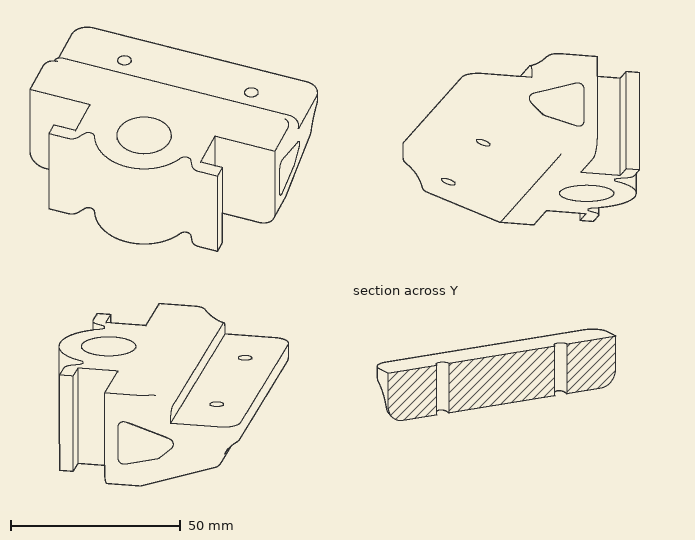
import cadquery as cq
import math

width = 77.0
height = 30.0
back_y = 46.9
body_front_y = 7.0

ledge_y = 26.9
ledge_z = 22.0
step_foot_z = 26.4
step_arc_start = (26.25, 26.6)
step_middle = (24.2, 27.6)
step_top_y = 21.4
step_rounding = 3.0

slope_start_y = 17.2
slope_end = (40.8, 8.0)
lip_arc_middle = (43.3, 13.55)
lip_z = 16.55
lip_blend = 2.0
outer_rounding = 5.0

bore_diameter = 16.0
boss_radius = 14.6
neck_half_width = 19.6
tab_half_width = 26.5
tab_top_y = -5.0
tab_bottom_y = -9.1
tab_round_x = 20.5
tab_round_radius = 3.0
notch_x = 15.2
notch_radius = 1.8

hole_diameter = 4.0
hole_x = 19.95
hole_y = 36.8

pocket_mouth = [(11.0, 7.55), (11.0, 22.1), (29.4, 16.2), (23.25, 10.6)]
pocket_depth = 4.0
pocket_taper = 20
pocket_rounding = 2.0


def make_body():
    """Side profile extruded over the full width, with its ends rounded underneath and on the step."""
    half_width = width / 2
    body = (
        cq.Workplane("YZ", origin=(-half_width, 0, 0))
        .moveTo(body_front_y, 0)
        .lineTo(slope_start_y, 0)
        .lineTo(*slope_end)
        .threePointArc(lip_arc_middle, (back_y, lip_z))
        .lineTo(back_y, ledge_z)
        .lineTo(ledge_y, ledge_z)
        .lineTo(ledge_y, step_foot_z)
        .lineTo(*step_arc_start)
        .threePointArc(step_middle, (step_top_y, height))
        .lineTo(body_front_y, height)
        .close()
        .extrude(width)
    )

    for y, z in [slope_end, (back_y, lip_z)]:
        body = body.edges(cq.selectors.NearestToPointSelector((0, y, z))).fillet(lip_blend)

    below_lip = cq.selectors.BoxSelector((-width, body_front_y + 0.8, 0), (width, back_y, lip_z))
    body = body.faces("<X or >X").edges(below_lip).fillet(outer_rounding)

    step_zone = cq.selectors.BoxSelector(
        (-width, step_top_y - 0.8, step_foot_z - 0.8), (width, ledge_y - 0.1, height + 0.8)
    )
    return body.edges(step_zone).fillet(step_rounding)


def make_bearing_block():
    """Neck, round boss and two clip tabs, extruded over the full height."""
    notch_y = -math.sqrt((boss_radius + notch_radius) ** 2 - notch_x**2)
    boss_share = boss_radius / (boss_radius + notch_radius)
    boss_touch = (notch_x * boss_share, notch_y * boss_share)

    round_y = tab_bottom_y + tab_round_radius
    center_angle = math.atan2(notch_y - round_y, notch_x - tab_round_x)
    center_distance = math.hypot(notch_y - round_y, notch_x - tab_round_x)
    flank_angle = center_angle + math.acos((tab_round_radius + notch_radius) / center_distance)
    flank_x = math.cos(flank_angle)
    flank_y = math.sin(flank_angle)
    round_touch = (tab_round_x + tab_round_radius * flank_x, round_y + tab_round_radius * flank_y)
    notch_touch = (notch_x - notch_radius * flank_x, notch_y - notch_radius * flank_y)

    half_block = (
        cq.Workplane("XY")
        .moveTo(0, body_front_y)
        .lineTo(neck_half_width, body_front_y)
        .lineTo(neck_half_width, tab_top_y)
        .lineTo(tab_half_width, tab_top_y)
        .lineTo(tab_half_width, tab_bottom_y)
        .lineTo(tab_round_x, tab_bottom_y)
        .tangentArcPoint(round_touch, relative=False)
        .lineTo(*notch_touch)
        .threePointArc((notch_x, notch_y + notch_radius), boss_touch)
        .tangentArcPoint((0, -boss_radius), relative=False)
        .close()
        .extrude(height)
    )
    return half_block.union(half_block.mirror("YZ"))


def make_end_pocket():
    """Tapered pocket with a rounded floor, cut into the -X end face."""
    pocket = (
        cq.Workplane("YZ", origin=(-width / 2, 0, 0))
        .polyline(pocket_mouth)
        .close()
        .extrude(pocket_depth, taper=pocket_taper)
    )
    return pocket.edges("not <X").fillet(pocket_rounding)


end_pocket = make_end_pocket()
result = (
    make_body()
    .union(make_bearing_block())
    .cut(end_pocket)
    .cut(end_pocket.mirror("YZ"))
    .cut(cq.Workplane("XY").circle(bore_diameter / 2).extrude(height))
    .cut(
        cq.Workplane("XY")
        .pushPoints([(-hole_x, hole_y), (hole_x, hole_y)])
        .circle(hole_diameter / 2)
        .extrude(height)
    )
)